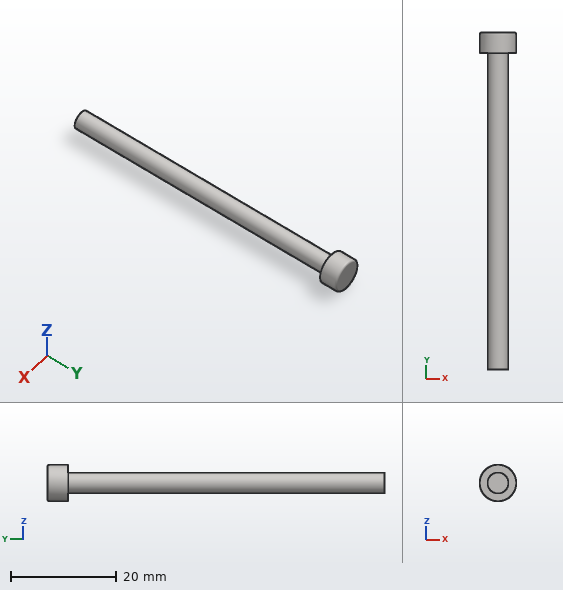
import cadquery as cq

total_length = 64.0
head_length = 4.0
head_diameter = 7.0
shank_diameter = 4.0
top_edge_radius = 0.45
underside_edge_radius = 0.25

shank_length = total_length - head_length


def cylinder_along_y(diameter, start, length):
    """Solid cylinder on the Y axis, running from start towards +Y."""
    plane = cq.Workplane("XZ", origin=(0, start, 0))
    return plane.circle(diameter / 2).extrude(-length)


head = cylinder_along_y(head_diameter, shank_length, head_length)
head = head.faces(">Y").edges().fillet(top_edge_radius)
head = head.faces("<Y").edges().fillet(underside_edge_radius)

shank = cylinder_along_y(shank_diameter, 0, shank_length)

result = head.union(shank)